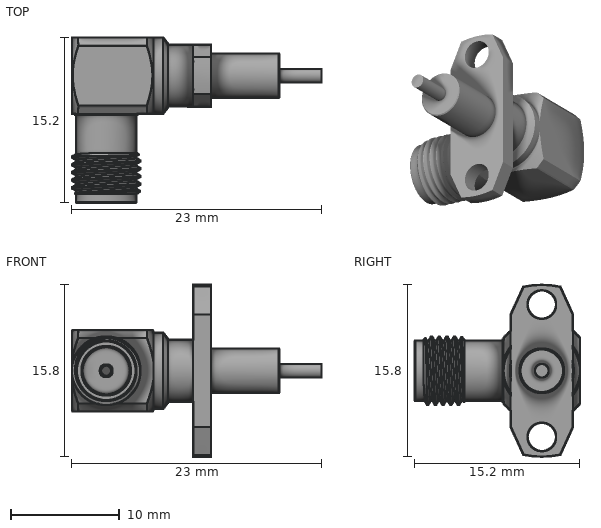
import cadquery as cq
import math


block_length = 7.5
block_depth = 7.03
block_height = 7.55
block_edge_chamfer = 0.74
end_face_radius = 3.63
end_cone_length = 0.6
end_cone_angle = 60

collar_radius = block_depth / 2
collar_taper_start = 8.4
collar_taper_end = 8.83
neck_radius = 5.72 / 2
collar_step = 0.1
collar_end_radius = neck_radius + collar_step
flange_start = 11.15
flange_end = 12.83
barrel_radius = 4.12 / 2
barrel_end = 19.1
barrel_chamfer = 0.1
pin_radius = 1.26 / 2
total_length = 23

flange_half_height = 15.85 / 2
flange_width = 2 * neck_radius
flange_tip_width = 3.4
flange_shoulder_height = 5.2
mount_hole_diameter = 2.6
mount_hole_offset = 6.1

crest_radius = 6.32 / 2
leg_x = crest_radius
leg_start = block_depth / 2
leg_length = 11.72
leg_radius = 5.59 / 2
leg_end_chamfer = 0.1
base_ring_radius = 5.72 / 2
base_ring_height = 0.11

four_pitch_length = 2.83
thread_pitch = four_pitch_length / 4
thread_start = 7.1
thread_end = 10.9
thread_runout = 0.32
helix_start = 6.44
helix_turns = 7
crest_width = 0.07
flank_angle = 30
root_overlap = 0.07
crest_clearance = 0.02

bore_radius = 4.58 / 2
bore_depth = 1.86
floor_chamfer = 0.11
contact_radius = 0.95 / 2
contact_mouth_radius = 1.2 / 2
contact_depth = 1.85


def revolve_on_cable(points):
    """Revolve an (x, radius) outline about the cable line."""
    return cq.Workplane("XY").polyline(points).close().revolve(360, (0, 0), (1, 0))


def place_on_leg(body):
    """Move a body built along +Z onto the leg, pointing to -Y."""
    return body.rotate((0, 0, 0), (1, 0, 0), 90).translate((leg_x, 0, 0))


def revolve_on_leg(points):
    """Revolve a (radius, distance) outline about the axis of the leg."""
    body = cq.Workplane("XZ").polyline(points).close().revolve(360, (0, 0), (0, 1))
    return place_on_leg(body)


def make_block():
    """Square block with bevelled long edges and both ends turned to a cone."""
    block = cq.Workplane("YZ").rect(block_depth, block_height).extrude(block_length)
    block = block.edges("|X").chamfer(block_edge_chamfer)
    cone_radius = end_face_radius + end_cone_length * math.tan(math.radians(end_cone_angle))
    envelope = revolve_on_cable([
        (0, 0),
        (0, end_face_radius),
        (end_cone_length, cone_radius),
        (block_length - end_cone_length, cone_radius),
        (block_length, end_face_radius),
        (block_length, 0),
    ])
    return block.intersect(envelope)


def make_cable_line():
    """Collar, neck, barrel and centre pin."""
    inside_block = block_length / 2
    return revolve_on_cable([
        (inside_block, 0),
        (inside_block, collar_radius),
        (collar_taper_start, collar_radius),
        (collar_taper_end, collar_end_radius),
        (collar_taper_end, neck_radius),
        (flange_end, neck_radius),
        (flange_end, barrel_radius),
        (barrel_end - barrel_chamfer, barrel_radius),
        (barrel_end, barrel_radius - barrel_chamfer),
        (barrel_end, pin_radius),
        (total_length, pin_radius),
        (total_length, 0),
    ])


def make_flange():
    """Two-hole flange with tapered ears and arc tips centred on the cable line."""
    side = flange_width / 2
    tip = flange_tip_width / 2
    shoulder = flange_shoulder_height
    corner = math.sqrt(flange_half_height**2 - tip**2)
    return (
        cq.Workplane("YZ", origin=(flange_start, 0, 0))
        .moveTo(side, -shoulder)
        .lineTo(side, shoulder)
        .lineTo(tip, corner)
        .threePointArc((0, flange_half_height), (-tip, corner))
        .lineTo(-side, shoulder)
        .lineTo(-side, -shoulder)
        .lineTo(-tip, -corner)
        .threePointArc((0, -flange_half_height), (tip, -corner))
        .close()
        .pushPoints([(0, mount_hole_offset), (0, -mount_hole_offset)])
        .circle(mount_hole_diameter / 2)
        .extrude(flange_end - flange_start)
    )


def make_leg():
    """Plain leg with a thin base ring and a chamfered end."""
    ring_end = leg_start + base_ring_height
    return revolve_on_leg([
        (0, 0),
        (leg_radius, 0),
        (leg_radius, leg_start),
        (base_ring_radius, leg_start),
        (base_ring_radius, ring_end),
        (leg_radius, ring_end),
        (leg_radius, leg_length - leg_end_chamfer),
        (leg_radius - leg_end_chamfer, leg_length),
        (0, leg_length),
    ])


def make_thread():
    """Right-hand helical ridge, trimmed to a cone at each end."""
    inner_radius = leg_radius - root_overlap
    half_crest = crest_width / 2
    half_base = half_crest + (crest_radius - inner_radius) * math.tan(math.radians(flank_angle))
    helix = cq.Wire.makeHelix(thread_pitch, thread_pitch * helix_turns, leg_radius)
    ridge = (
        cq.Workplane("XZ")
        .polyline([
            (inner_radius, -half_base),
            (crest_radius, -half_crest),
            (crest_radius, half_crest),
            (inner_radius, half_base),
        ])
        .close()
        .sweep(cq.Workplane(obj=helix), isFrenet=True)
        .translate((0, 0, helix_start))
    )
    outer_radius = crest_radius + crest_clearance
    envelope = revolve_on_leg([
        (0, thread_start),
        (leg_radius, thread_start),
        (outer_radius, thread_start + thread_runout),
        (outer_radius, thread_end - thread_runout),
        (leg_radius, thread_end),
        (0, thread_end),
    ])
    return place_on_leg(ridge).intersect(envelope)


def make_socket():
    """Blind bore with a bevelled floor edge and a countersunk contact hole."""
    floor = leg_length - bore_depth
    countersink = contact_mouth_radius - contact_radius
    return revolve_on_leg([
        (0, leg_length),
        (bore_radius, leg_length),
        (bore_radius, floor + floor_chamfer),
        (bore_radius - floor_chamfer, floor),
        (contact_mouth_radius, floor),
        (contact_radius, floor - countersink),
        (contact_radius, floor - contact_depth),
        (0, floor - contact_depth),
    ])


result = make_block().union(make_cable_line()).union(make_flange())
result = result.union(make_leg()).union(make_thread())
result = result.cut(make_socket())